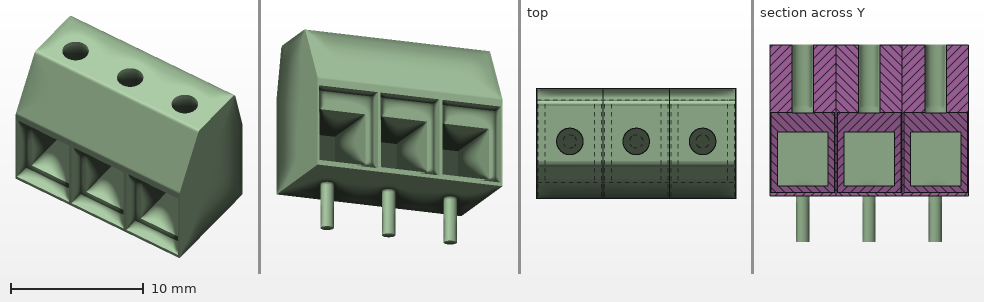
import cadquery as cq

total_length = 15.0
pole_count = 3
pitch = total_length / pole_count

depth = 8.3
height = 11.4
axis_from_back = 3.99
back_y = axis_from_back
front_y = axis_from_back - depth
front_shoulder_z = 6.87
back_shoulder_z = 7.5
front_slope_run = 2.55
back_slope_run = 0.98
edge_radius = 0.33

side_wall = 0.12
pocket_width = pitch - 2 * side_wall
pocket_bottom_z = 0.27
pocket_height = 5.98
pocket_top_z = pocket_bottom_z + pocket_height
cage_setback = 1.2
cage_front_y = front_y + cage_setback
cage_length = -2 * cage_front_y
pocket_depth = cage_setback + cage_length

opening_width = 3.75
opening_height = 4.0
opening_bottom_z = 0.78

screw_hole_diameter = 2.0
pin_diameter = 1.0
pin_length = 3.5


def box_from_front(width, length, box_height, front, bottom):
    """Box centred on X = 0, running back from its front face and up from its bottom face."""
    return (
        cq.Workplane("XY")
        .box(width, length, box_height, centered=(True, False, False))
        .translate((0, front, bottom))
    )


def make_housing(x):
    profile = [
        (front_y, 0),
        (back_y, 0),
        (back_y, back_shoulder_z),
        (back_y - back_slope_run, height),
        (front_y + front_slope_run, height),
        (front_y, front_shoulder_z),
    ]
    body = cq.Workplane("YZ").polyline(profile).close().extrude(pitch / 2, both=True)

    top_edges = body.faces(">Z").edges("|X")
    shoulder_edge = body.faces("<Y").edges("|X and >Z")
    body = top_edges.add(shoulder_edge).fillet(edge_radius)

    pocket = box_from_front(pocket_width, pocket_depth, pocket_height, front_y, pocket_bottom_z)

    screw_hole = (
        cq.Workplane("XY")
        .workplane(offset=pocket_top_z)
        .circle(screw_hole_diameter / 2)
        .extrude(height - pocket_top_z)
    )
    return body.cut(pocket).cut(screw_hole).translate((x, 0, 0))


def make_cage(x):
    block = box_from_front(pocket_width, cage_length, pocket_height, cage_front_y, pocket_bottom_z)
    opening = box_from_front(opening_width, cage_length, opening_height, cage_front_y, opening_bottom_z)
    return block.cut(opening).translate((x, 0, 0))


def make_pin(x):
    return cq.Workplane("XY").circle(pin_diameter / 2).extrude(-pin_length).translate((x, 0, 0))


bodies = []
for pole in range(pole_count):
    pole_x = (pole - (pole_count - 1) / 2) * pitch
    housing = make_housing(pole_x)
    cage = make_cage(pole_x)
    pin = make_pin(pole_x)
    bodies += [housing.val(), cage.val(), pin.val()]

result = cq.Compound.makeCompound(bodies)